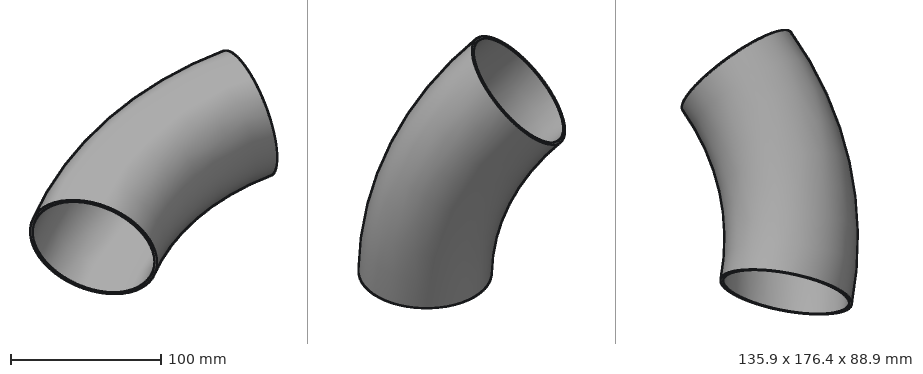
import cadquery as cq

outer_diameter = 88.9
wall_thickness = 2.0
bend_radius = 205.0
bend_angle = 45.0

inner_diameter = outer_diameter - 2 * wall_thickness

result = (
    cq.Workplane("XZ")
    .circle(outer_diameter / 2)
    .circle(inner_diameter / 2)
    .revolve(bend_angle, (bend_radius, 0), (bend_radius, -1))
)